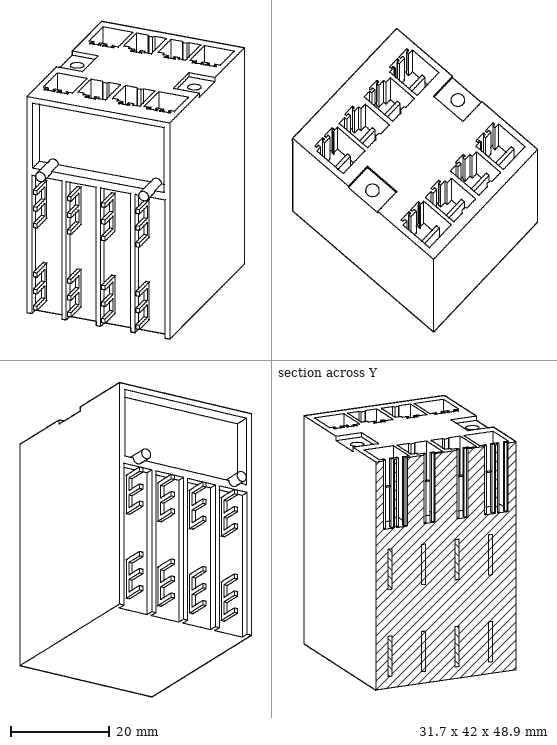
import cadquery as cq

WIDTH = 31.7
DEPTH = 38.7
HEIGHT = 48.9
PROTRUSION = 3.25

WINDOW_WIDTH = 29.15
WINDOW_TOP = HEIGHT - 1.25
WINDOW_BOTTOM = HEIGHT - 15.95
WINDOW_DEPTH = 3.5
POST_DIAMETER = 2.15
POST_SPACING = 22.9

COLUMNS = 4
CHANNEL_PITCH = 7.65
CHANNEL_WIDTH = 6.65
CHANNEL_TOP = 31.3
CHANNEL_DEPTH = 1.85

SEAT_LENGTH = 5.75
SEAT_WIDTH = 8.05
SEAT_DEPTH = 0.95
SEAT_HOLE_DIAMETER = 2.75
SEAT_HOLE_SPACING = 26.0
SEAT_HOLE_DEPTH = 9.8

POCKET_WIDTH = 6.6
POCKET_LENGTH = 7.25
POCKET_DEPTH = 14.65
OUTER_POCKET_X = 11.25
INNER_POCKET_X = 3.8
REAR_POCKET_BACK = 36.4
FRONT_POCKET_BACK = 12.7
KEY_LONG_STEP = 0.6
KEY_SHORT_STEP = 0.65
OUTER_STEP = 0.3
KEY_SIDE_WIDTH = 1.3
KEY_LONG_WIDTH = 1.65
OUTER_STEP_WIDTH = 1.3
RIB_TOP_WIDTH = 1.45
RIB_TIP_WIDTH = 0.85
RIB_HEIGHT = 0.45
T_NECK_WIDTH = 1.2
T_NECK_LENGTH = 0.6
T_HEAD_WIDTH = 2.35
T_HEAD_LENGTH = 0.45
INNER_T_OFFSET = 0.1
OUTER_T_OFFSETS = (-1.55, 1.3)

SHEET = 0.8
CONTACT_PITCH = 7.6
FORK_OFFSET = -1.25
TINES = 3
TINE_PITCH = 3.75
TINE_HEIGHT = 1.0
FORK_HEIGHT = (TINES - 1) * TINE_PITCH + TINE_HEIGHT
WEB_FRONT = 0.9
BLADE_TOP = 41.55
FRONT_BLADE_WIDTH = 4.55
FRONT_BLADE_Y = 9.35
FRONT_FORK_BOTTOM = 21.2
REAR_BLADE_WIDTH = 6.05
REAR_BLADE_Y = 33.1
REAR_FORK_BOTTOM = 2.6


def box(x_min, x_max, y_min, y_max, z_min, z_max):
    """Box between two opposite corners."""
    size = (x_max - x_min, y_max - y_min, z_max - z_min)
    return cq.Workplane("XY").box(*size, centered=False).translate((x_min, y_min, z_min))


def column_x(index, pitch):
    """X of one column of a row centred on X = 0."""
    return (index - (COLUMNS - 1) / 2) * pitch


def pocket_box(x_min, x_max, y_min, y_max):
    """Straight cut from the pocket floor to the top face."""
    return box(x_min, x_max, y_min, y_max, HEIGHT - POCKET_DEPTH, HEIGHT)


def t_groove(x):
    """T-shaped groove running down the front wall of a pocket whose back wall is Y = 0."""
    neck_end = -POCKET_LENGTH - T_NECK_LENGTH
    neck = pocket_box(x - T_NECK_WIDTH / 2, x + T_NECK_WIDTH / 2, neck_end, -POCKET_LENGTH)
    head = pocket_box(x - T_HEAD_WIDTH / 2, x + T_HEAD_WIDTH / 2, neck_end - T_HEAD_LENGTH, neck_end)
    return neck.union(head)


def outer_pocket():
    """Left outer pocket with two T-grooves; back wall on Y = 0, centred on X = 0."""
    half = POCKET_WIDTH / 2
    pocket = pocket_box(-half, half, -POCKET_LENGTH, 0)
    pocket = pocket.union(
        pocket_box(half - OUTER_STEP_WIDTH, half, -POCKET_LENGTH - OUTER_STEP, -POCKET_LENGTH)
    )
    for offset in OUTER_T_OFFSETS:
        pocket = pocket.union(t_groove(offset))
    return pocket


def inner_pocket(t_offset):
    """Inner pocket with keyed front corners, one T-groove and a rib on the back wall."""
    half = POCKET_WIDTH / 2
    pocket = pocket_box(-half, half, -POCKET_LENGTH, 0)
    pocket = pocket.union(
        pocket_box(half - KEY_LONG_WIDTH, half, -POCKET_LENGTH - KEY_LONG_STEP, -POCKET_LENGTH)
    )
    pocket = pocket.cut(
        pocket_box(-half, -half + KEY_SIDE_WIDTH, -POCKET_LENGTH, -POCKET_LENGTH + KEY_SHORT_STEP)
    )
    rib = (
        cq.Workplane("XY", origin=(0, 0, HEIGHT - POCKET_DEPTH))
        .polyline([
            (-RIB_TOP_WIDTH / 2, 0),
            (-RIB_TIP_WIDTH / 2, -RIB_HEIGHT),
            (RIB_TIP_WIDTH / 2, -RIB_HEIGHT),
            (RIB_TOP_WIDTH / 2, 0),
        ])
        .close()
        .extrude(POCKET_DEPTH)
    )
    return pocket.cut(rib).union(t_groove(t_offset))


def pocket_row(back_y):
    """The four pockets of one row."""
    left_outer = outer_pocket()
    right_outer = left_outer.mirror("YZ")
    return [
        left_outer.translate((-OUTER_POCKET_X, back_y, 0)),
        inner_pocket(INNER_T_OFFSET).translate((-INNER_POCKET_X, back_y, 0)),
        inner_pocket(-INNER_T_OFFSET).translate((INNER_POCKET_X, back_y, 0)),
        right_outer.translate((OUTER_POCKET_X, back_y, 0)),
    ]


def mounting_seat(side):
    """Recess with a blind hole on one side (-1 or 1) of the top face."""
    edge = side * WIDTH / 2
    inner = edge - side * SEAT_LENGTH
    seat = box(
        min(edge, inner), max(edge, inner),
        (DEPTH - SEAT_WIDTH) / 2, (DEPTH + SEAT_WIDTH) / 2,
        HEIGHT - SEAT_DEPTH, HEIGHT,
    )
    hole = (
        cq.Workplane("XY", origin=(side * SEAT_HOLE_SPACING / 2, DEPTH / 2, HEIGHT - SEAT_DEPTH))
        .circle(SEAT_HOLE_DIAMETER / 2)
        .extrude(-SEAT_HOLE_DEPTH)
    )
    return seat.union(hole)


def post(side):
    """Round locating post from the window's back wall out past the front face."""
    return (
        cq.Workplane("XZ", origin=(side * POST_SPACING / 2, WINDOW_DEPTH, WINDOW_BOTTOM))
        .circle(POST_DIAMETER / 2)
        .extrude(WINDOW_DEPTH + PROTRUSION)
    )


def contact(x, blade_width, blade_y, fork_bottom):
    """Contact with its blade centred at X = x and its fork reaching out of the front."""
    fork_top = fork_bottom + FORK_HEIGHT
    fork_left = x + FORK_OFFSET - SHEET / 2
    fork_right = fork_left + SHEET
    body = box(
        x - blade_width / 2, x + blade_width / 2,
        blade_y - SHEET / 2, blade_y + SHEET / 2, fork_bottom, BLADE_TOP,
    )
    body = body.union(box(fork_left, fork_right, WEB_FRONT, blade_y, fork_bottom, fork_top))
    for index in range(TINES):
        tine_bottom = fork_bottom + index * TINE_PITCH
        body = body.union(
            box(fork_left, fork_right, -PROTRUSION, WEB_FRONT, tine_bottom, tine_bottom + TINE_HEIGHT)
        )
    return body


def contact_row(blade_width, blade_y, fork_bottom):
    """One contact per column."""
    return [
        contact(column_x(index, CONTACT_PITCH), blade_width, blade_y, fork_bottom)
        for index in range(COLUMNS)
    ]


def housing_with_seats_for(contacts):
    """Housing with all its recesses, and a matching slot for every contact."""
    body = box(-WIDTH / 2, WIDTH / 2, 0, DEPTH, 0, HEIGHT)
    body = body.cut(
        box(-WINDOW_WIDTH / 2, WINDOW_WIDTH / 2, 0, WINDOW_DEPTH, WINDOW_BOTTOM, WINDOW_TOP)
    )
    for index in range(COLUMNS):
        left = column_x(index, CHANNEL_PITCH) - CHANNEL_WIDTH / 2
        body = body.cut(box(left, left + CHANNEL_WIDTH, 0, CHANNEL_DEPTH, 0, CHANNEL_TOP))
    for pocket in pocket_row(REAR_POCKET_BACK) + pocket_row(FRONT_POCKET_BACK):
        body = body.cut(pocket)
    for side in (-1, 1):
        body = body.cut(mounting_seat(side))
        body = body.union(post(side))
    for piece in contacts:
        body = body.cut(piece)
    return body


front_contacts = contact_row(FRONT_BLADE_WIDTH, FRONT_BLADE_Y, FRONT_FORK_BOTTOM)
rear_contacts = contact_row(REAR_BLADE_WIDTH, REAR_BLADE_Y, REAR_FORK_BOTTOM)
contacts = front_contacts + rear_contacts
housing = housing_with_seats_for(contacts)

result = cq.Compound.makeCompound([housing.val(), *[piece.val() for piece in contacts]])